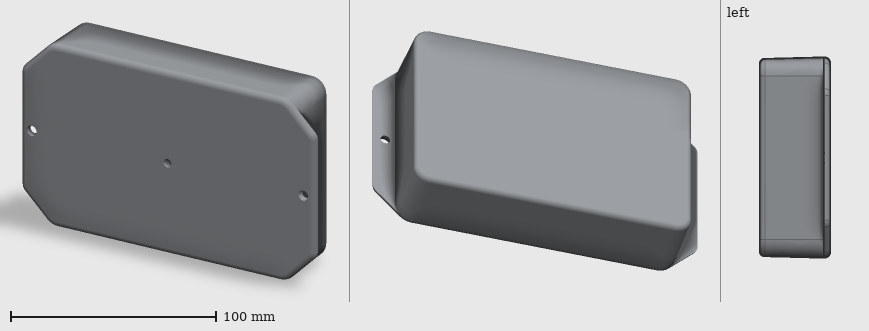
import cadquery as cq
import math

plate_length = 165.1
overall_depth = 34.47
height = 97.79

plate_thickness = 3.175
plate_edge_round = 3.1
plate_end_radius = 4.75

box_length = 142.5
box_corner_radius = 9.0
box_draft = 1.5
box_edge_round = 2.54
box_depth = overall_depth - plate_thickness

mount_spacing = 152.4
mount_front_diameter = 5.4
mount_back_diameter = 4.8
dimple_diameter = 4.5

half_length = plate_length / 2
half_height = height / 2


def center_dimple():
    """Ball that leaves a hemispherical dimple at the middle of the plate front."""
    radius = dimple_diameter / 2
    half_disc = cq.Workplane("XY").moveTo(0, -radius).threePointArc((radius, 0), (0, radius)).close()
    return half_disc.revolve(360, (0, 0, 0), (0, 1, 0))


def mount_hole(x):
    """Mounting hole that narrows towards the back of the plate."""
    cone = cq.Solid.makeCone(
        mount_front_diameter / 2,
        mount_back_diameter / 2,
        plate_thickness,
        pnt=cq.Vector(x, 0, 0),
        dir=cq.Vector(0, 1, 0),
    )
    return cq.Workplane(obj=cone)


def plate_outline():
    """Octagon with 45 degree corners, each tangent to the box corner circle it wraps around."""
    circle_x = box_length / 2 - box_corner_radius
    circle_z = half_height - box_corner_radius
    slant_reach = circle_x + circle_z + box_corner_radius * math.sqrt(2)
    end_z = slant_reach - half_length
    side_x = slant_reach - half_height
    upper_half = [
        (-half_length, end_z),
        (-side_x, half_height),
        (side_x, half_height),
        (half_length, end_z),
    ]
    lower_half = [(-x, -z) for x, z in upper_half]
    return upper_half + lower_half


def make_mounting_plate():
    plate = cq.Workplane("XZ").polyline(plate_outline()).close().extrude(-plate_thickness)
    plate = plate.edges("|Y and (<X or >X)").fillet(plate_end_radius)
    plate = plate.edges("|Y and (<Z or >Z)").fillet(box_corner_radius)
    plate = plate.faces("<Y").edges().fillet(plate_edge_round)
    for side in (-1, 1):
        plate = plate.cut(mount_hole(side * mount_spacing / 2))
    return plate.cut(center_dimple())


def make_box():
    box = (
        cq.Workplane("XZ", origin=(0, plate_thickness, 0))
        .sketch()
        .rect(box_length, height)
        .vertices()
        .fillet(box_corner_radius)
        .finalize()
        .extrude(-box_depth, taper=box_draft)
    )
    return box.faces(">Y").edges().fillet(box_edge_round)


mounting_plate = make_mounting_plate()
box = make_box()

result = cq.Compound.makeCompound([mounting_plate.val(), box.val()])